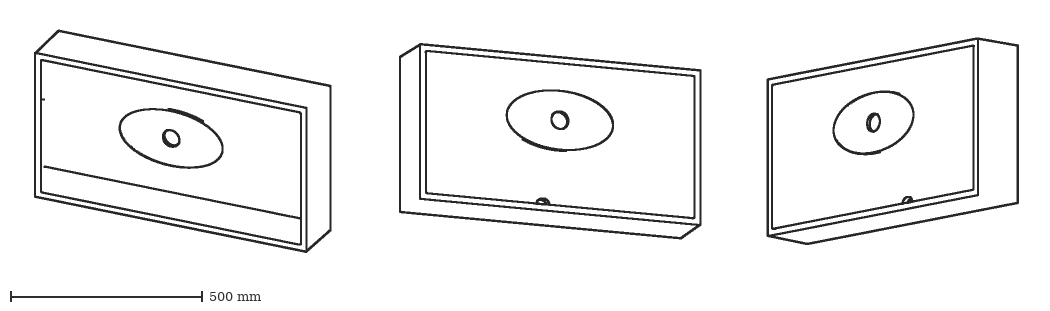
import cadquery as cq
import math

LENGTH = 787.0
DEPTH = 145.0
HEIGHT = 420.0
CORNER_RADIUS = 3.0
OUTER_DRAFT = 0.5

RIM = 18.0
OPENING_LENGTH = LENGTH - 2 * RIM
OPENING_TOP = HEIGHT / 2 - RIM
OPENING_BOTTOM = -OPENING_TOP
DRAFT = 2.4
INNER_RADIUS = 5.0

TROUGH_HEIGHT = 68.0
TROUGH_TOP = OPENING_BOTTOM + TROUGH_HEIGHT
TROUGH_FLOOR_THICKNESS = 18.0
TROUGH_DEPTH = DEPTH - TROUGH_FLOOR_THICKNESS
LIP_RADIUS = 5.0
OUTLET_DIAMETER = 36.0
OUTLET_Z = -160.0

BASIN_DEPTH = 15.0
BASIN_CROWN = 5.0
BASIN_OVERLAP = 8.0
CROWN_STEPS = 12
CROWN_REACH = 1.1

BOSS_Z = 39.0
BOSS_LENGTH = 297.5
BOSS_WIDTH = 159.0
BOSS_TOP_DEPTH = 2.0
BOSS_DRAFT = 15.0
BOSS_FOOT_RADIUS = 4.0
RECESS_DIAMETER = 47.0
RECESS_DEPTH = 9.5

FRONT = -DEPTH / 2


def inward_plane(distance, z=0):
    """Plane parallel to the open side, set in by a distance, with its normal pointing inward (+Y)."""
    plane = cq.Plane((0, FRONT + distance, z), xDir=(1, 0, 0), normal=(0, 1, 0))
    return cq.Workplane(plane)


def outer_block():
    return (
        inward_plane(DEPTH)
        .rect(LENGTH, HEIGHT)
        .extrude(-DEPTH, taper=OUTER_DRAFT)
        .edges("(not <Y) and (not >Y)")
        .fillet(CORNER_RADIUS)
    )


def drafted_pocket(bottom, top, depth):
    """Cutter as wide as the opening, between two heights, narrowing inward."""
    return (
        inward_plane(0, (bottom + top) / 2)
        .rect(OPENING_LENGTH, top - bottom)
        .extrude(depth, taper=DRAFT)
    )


def crown_point(i, j):
    """Point of the basin floor on a square grid that spans the basin and a little more."""
    u = CROWN_REACH * (2 * i / CROWN_STEPS - 1)
    v = CROWN_REACH * (2 * j / CROWN_STEPS - 1)
    half_height = (OPENING_TOP - TROUGH_TOP) / 2
    middle = (OPENING_TOP + TROUGH_TOP) / 2
    depth = BASIN_DEPTH - BASIN_CROWN * (1 - u**2) * (1 - v**2)
    return cq.Vector(u * OPENING_LENGTH / 2, FRONT + depth, middle + v * half_height)


def crowned_space():
    """Everything in front of the crowned basin floor."""
    steps = range(CROWN_STEPS + 1)
    floor = cq.Face.makeSplineApprox([[crown_point(i, j) for j in steps] for i in steps])
    return cq.Workplane(cq.Solid.extrudeLinear(floor, cq.Vector(0, -DEPTH, 0)))


def basin_cutter():
    pocket = drafted_pocket(TROUGH_TOP - BASIN_OVERLAP, OPENING_TOP, 2 * BASIN_DEPTH)
    pocket = pocket.intersect(crowned_space())
    side_and_floor_edges = cq.selectors.BoxSelector(
        (-LENGTH, FRONT + BASIN_DEPTH / 4, TROUGH_TOP),
        (LENGTH, 0, HEIGHT),
    )
    return pocket.edges(side_and_floor_edges).fillet(INNER_RADIUS)


def trough_cutter():
    pocket = drafted_pocket(OPENING_BOTTOM, TROUGH_TOP, TROUGH_DEPTH)
    return pocket.edges("not <Y").fillet(INNER_RADIUS)


def boss():
    """Boss that widens from its top face down through the basin floor."""
    height = 2 * BASIN_DEPTH
    spread = height * math.tan(math.radians(BOSS_DRAFT))
    return (
        inward_plane(BOSS_TOP_DEPTH, BOSS_Z)
        .ellipse(BOSS_LENGTH / 2, BOSS_WIDTH / 2)
        .workplane(offset=height)
        .ellipse(BOSS_LENGTH / 2 + spread, BOSS_WIDTH / 2 + spread)
        .loft(ruled=True)
    )


def add_boss(body):
    """Join the boss and round the inside corner around its foot."""
    foot = cq.selectors.BoxSelector(
        (-BOSS_LENGTH / 4, FRONT + BASIN_DEPTH / 2, BOSS_Z - BOSS_WIDTH / 4),
        (BOSS_LENGTH / 4, FRONT + BASIN_DEPTH, BOSS_Z + BOSS_WIDTH / 4),
    )
    return body.union(boss()).edges(foot).fillet(BOSS_FOOT_RADIUS)


def round_lip(body):
    """Round the long convex edge where the basin floor meets the trough."""
    lip = cq.selectors.BoxSelector(
        (-LENGTH, FRONT + BASIN_DEPTH / 2, TROUGH_TOP - LIP_RADIUS),
        (LENGTH, FRONT + 1.5 * BASIN_DEPTH, TROUGH_TOP + LIP_RADIUS),
    )
    return body.edges(lip).edges(cq.selectors.LengthNthSelector(-1)).fillet(LIP_RADIUS)


recess = inward_plane(BOSS_TOP_DEPTH, BOSS_Z).circle(RECESS_DIAMETER / 2).extrude(RECESS_DEPTH)
outlet = inward_plane(0, OUTLET_Z).circle(OUTLET_DIAMETER / 2).extrude(DEPTH)

body = round_lip(outer_block().cut(basin_cutter()).cut(trough_cutter()))
result = add_boss(body).cut(recess).cut(outlet)